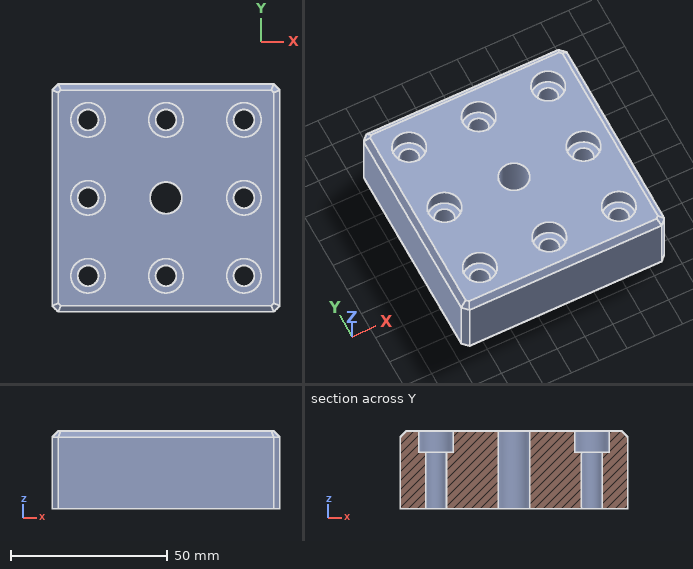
import cadquery as cq

side = 73.0
height = 25.0
chamfer = 2.0

hole_pitch = 25.0
screw_diameter = 6.6
head_diameter = 11.0
head_depth = 6.8
center_diameter = 10.1


def chamfered_block():
    """Square block with bevelled upright edges and top rim, resting on Z = 0."""
    block = cq.Workplane("XY").box(side, side, height, centered=(True, True, False))
    return block.edges("|Z").chamfer(chamfer).faces(">Z").edges().chamfer(chamfer)


def screw_positions():
    """Every grid position except the center."""
    steps = (-hole_pitch, 0, hole_pitch)
    return [(x, y) for x in steps for y in steps if (x, y) != (0, 0)]


block = chamfered_block()

block = (
    block.faces(">Z").workplane(origin=(0, 0, height))
    .pushPoints(screw_positions())
    .cboreHole(screw_diameter, head_diameter, head_depth)
)

result = block.faces(">Z").workplane(origin=(0, 0, height)).hole(center_diameter)